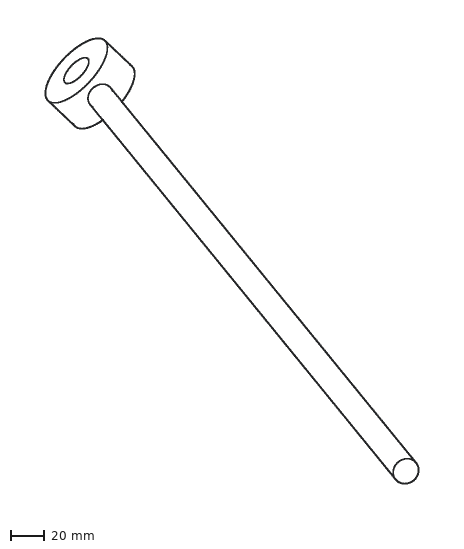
import cadquery as cq

eye_diameter = 50.0
eye_thickness = 25.0
bore_diameter = 20.0
rod_diameter = 16.0
rod_reach = 717.2
rod_rise = 9.45
eye_roll = 40.56


def make_eye_blank():
    """Round disc centred on the origin, with its axis along Z."""
    return cq.Workplane("XY").circle(eye_diameter / 2).extrude(eye_thickness / 2, both=True)


def make_rod():
    """Straight round rod running from the eye centre along +X."""
    return cq.Workplane("YZ").circle(rod_diameter / 2).extrude(rod_reach)


def make_bore():
    """Through hole of the eye, which also trims the buried end of the rod."""
    return cq.Workplane("XY").circle(bore_diameter / 2).extrude(eye_thickness / 2, both=True)


def place_lever(lever):
    """Roll the eye about the rod axis, then lift the rod's free end."""
    rolled = lever.rotate((0, 0, 0), (1, 0, 0), eye_roll)
    return rolled.rotate((0, 0, 0), (0, 1, 0), -rod_rise)


lever_blank = make_eye_blank().union(make_rod())
result = place_lever(lever_blank.cut(make_bore()))